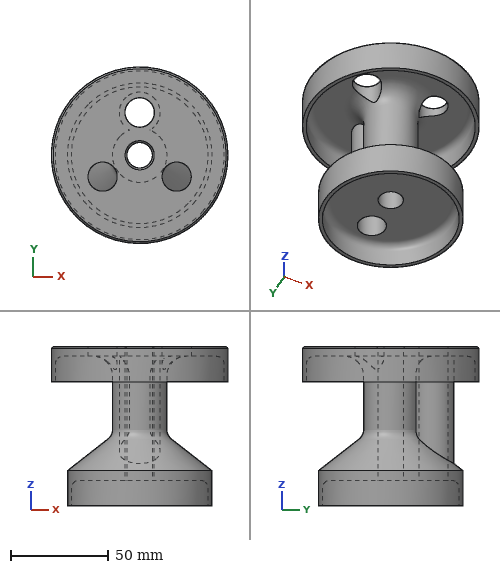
import cadquery as cq
import math

flange_diameter = 90.9
base_diameter = 74.3
disc_thickness = 18.2
total_height = 82.0
flange_bottom = total_height - disc_thickness
flange_edge_chamfer = 1.0

neck_diameter = 28.0
cone_top_radius = 16.45
cone_top_height = 34.3
fillet_top_height = 38.8

wall_thickness = 2.0
web_thickness = 5.0
cavity_corner_radius = 4.0
neck_root_radius = 10.0
cavity_depth = disc_thickness - web_thickness

center_hole_diameter = 13.0
center_hole_mouth_diameter = 15.0
center_hole_chamfer = (center_hole_mouth_diameter - center_hole_diameter) / 2
side_hole_diameter = 15.0
side_hole_circle_radius = 22.0
side_hole_count = 3

tube_diameter = 21.0
through_hole_angle = 90


def side_hole_position(index):
    """Center of a side hole, counted from the one that goes right through."""
    angle = math.radians(through_hole_angle + index * 360 / side_hole_count)
    return (side_hole_circle_radius * math.cos(angle), side_hole_circle_radius * math.sin(angle))


def make_spool():
    """Base, cone, filleted neck and flange, turned about Z."""
    base_radius = base_diameter / 2
    neck_radius = neck_diameter / 2
    flange_radius = flange_diameter / 2
    return (
        cq.Workplane("XZ")
        .lineTo(base_radius, 0)
        .lineTo(base_radius, disc_thickness)
        .lineTo(cone_top_radius, cone_top_height)
        .tangentArcPoint((neck_radius, fillet_top_height), relative=False)
        .lineTo(neck_radius, flange_bottom)
        .lineTo(flange_radius, flange_bottom)
        .lineTo(flange_radius, total_height - flange_edge_chamfer)
        .lineTo(flange_radius - flange_edge_chamfer, total_height)
        .lineTo(0, total_height)
        .close()
        .revolve(360, (0, 0, 0), (0, 1, 0))
    )


def make_cavity(outer_diameter, bottom):
    """Round pocket open at the bottom, with a rounded upper corner."""
    return (
        cq.Workplane("XY")
        .workplane(offset=bottom)
        .circle(outer_diameter / 2 - wall_thickness)
        .extrude(cavity_depth)
        .faces(">Z")
        .edges()
        .fillet(cavity_corner_radius)
    )


def make_neck_root():
    """Neck inside the flange cavity, flaring in an arc into the flange web."""
    neck_radius = neck_diameter / 2
    web_bottom = total_height - web_thickness
    root_bottom = web_bottom - neck_root_radius
    return (
        cq.Workplane("XZ")
        .moveTo(0, flange_bottom)
        .lineTo(neck_radius, flange_bottom)
        .lineTo(neck_radius, root_bottom)
        .tangentArcPoint((neck_radius + neck_root_radius, web_bottom), relative=False)
        .lineTo(0, web_bottom)
        .close()
        .revolve(360, (0, 0, 0), (0, 1, 0))
    )


def make_tube():
    """Solid post between the base and the flange webs."""
    return (
        cq.Workplane("XY")
        .workplane(offset=cavity_depth)
        .center(*side_hole_position(0))
        .circle(tube_diameter / 2)
        .extrude(total_height - web_thickness - cavity_depth)
    )


def make_center_hole():
    """Through hole with a chamfered mouth at the top."""
    bore = cq.Workplane("XY").circle(center_hole_diameter / 2).extrude(total_height)
    mouth = (
        cq.Workplane("XY")
        .workplane(offset=total_height)
        .circle(center_hole_mouth_diameter / 2)
        .extrude(-center_hole_chamfer, taper=45)
    )
    return bore.union(mouth)


def make_side_hole(index):
    """The first hole runs the full height, the others only pierce the flange."""
    bottom = 0 if index == 0 else flange_bottom
    return (
        cq.Workplane("XY")
        .workplane(offset=bottom)
        .center(*side_hole_position(index))
        .circle(side_hole_diameter / 2)
        .extrude(total_height - bottom)
    )


result = (
    make_spool()
    .cut(make_cavity(flange_diameter, flange_bottom))
    .cut(make_cavity(base_diameter, 0))
    .union(make_neck_root())
    .union(make_tube())
    .cut(make_center_hole())
)
for hole_index in range(side_hole_count):
    result = result.cut(make_side_hole(hole_index))